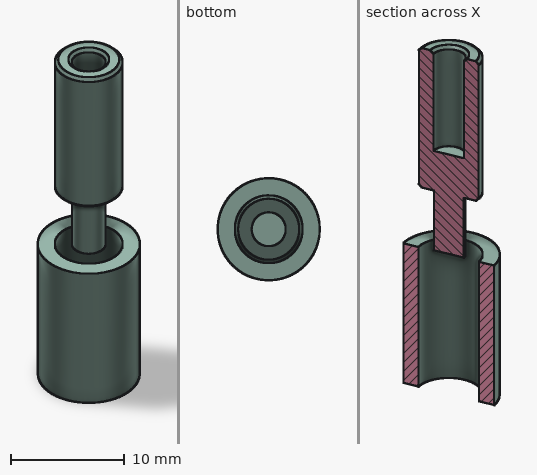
import cadquery as cq

total_height = 34.0
sleeve_height = 14.0
head_height = sleeve_height
head_bottom = total_height - head_height

sleeve_diameter = 9.0
head_diameter = 6.0
sleeve_bore_diameter = head_diameter
stem_diameter = head_diameter / 2
socket_diameter = stem_diameter
socket_depth = 10.0

edge_break = 0.3


def make_sleeve():
    """Plain tube with a through bore, standing on Z = 0."""
    return (
        cq.Workplane("XY")
        .circle(sleeve_diameter / 2)
        .circle(sleeve_bore_diameter / 2)
        .extrude(sleeve_height)
    )


def make_plunger():
    """Stem and socketed head, turned from one half section around Z."""
    stem_radius = stem_diameter / 2
    head_radius = head_diameter / 2
    head_end_radius = head_radius - edge_break
    socket_radius = socket_diameter / 2
    socket_mouth_radius = socket_radius + edge_break
    socket_floor = total_height - socket_depth
    top_break_start = total_height - edge_break

    half_section = [
        (0, sleeve_height),
        (stem_radius, sleeve_height),
        (stem_radius, head_bottom),
        (head_end_radius, head_bottom),
        (head_radius, head_bottom + edge_break),
        (head_radius, top_break_start),
        (head_end_radius, total_height),
        (socket_mouth_radius, total_height),
        (socket_radius, top_break_start),
        (socket_radius, socket_floor),
        (0, socket_floor),
    ]
    return cq.Workplane("XZ").polyline(half_section).close().revolve(360, (0, 0), (0, 1))


sleeve = make_sleeve()
plunger = make_plunger()
result = cq.Compound.makeCompound([sleeve.val(), plunger.val()])